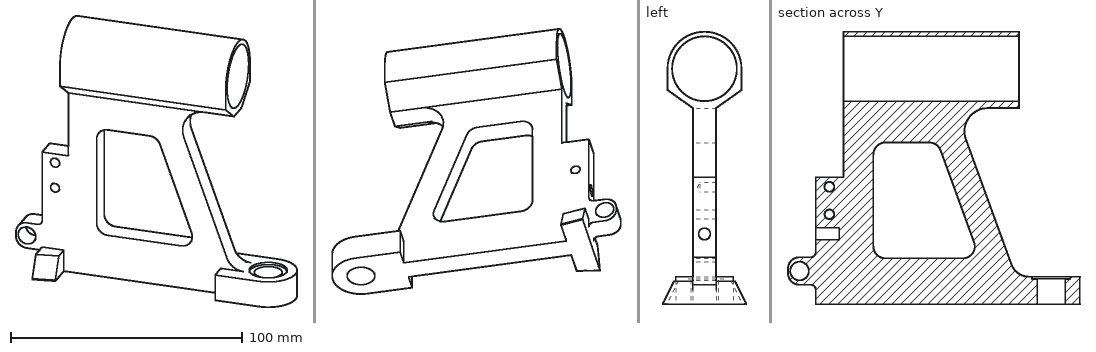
import cadquery as cq
import math


plate_thickness = 10.0
neck_front_x = 12.0
shoulder_height = 55.0
rear_slope_angle = 20
rear_slope_base_x = 91.1
rear_upper_fillet = 10.0
rear_lower_fillet = 8.0
slope_run = math.tan(math.radians(rear_slope_angle))

window_front_x = 25.0
window_bottom = 20.0
window_top = 70.0
window_fillet = 5.0
rear_strut_width = 12.0

total_height = 118.0
tube_length = 76.0
tube_diameter = 32.1
bore_diameter = 28.0
tube_side_bottom = 92.7
tube_neck_height = 84.9
tube_center_z = total_height - tube_diameter / 2

total_length = 126.5
tab_length = 12.0
tab_height = 12.0
tab_center_z = 14.4
tab_corner_radius = 5.0
tab_root_fillet = 2.0
hinge_hole_diameter = 8.0

foot_length = 10.0
foot_height = 10.0
foot_edge_height = 0.5
foot_base_width = 35.9
foot_top_width = 26.6
foot_taper_angle = 10

lug_width = 25.0
lug_height = 12.0
lug_straight_length = 20.0
lug_hole_diameter = 12.0
counterbore_diameter = 16.5
counterbore_depth = 1.0
lug_center_x = total_length - tab_length - lug_width / 2
lug_front_x = lug_center_x - lug_straight_length

side_hole_x = 6.0
through_hole_z = 39.0
through_hole_diameter = 4.0
blind_hole_z = 50.9
blind_hole_diameter = 4.2
blind_hole_depth = 7.0
drill_tip_angle = 118
front_hole_z = 30.5
front_hole_diameter = 5.0
front_hole_depth = 10.1


def rear_slope_x(z):
    """X of the sloping rear edge of the plate at height z."""
    return rear_slope_base_x - z * slope_run


def window_rear_x(z):
    """X of the sloping rear side of the window at height z."""
    return rear_slope_x(z) - rear_strut_width / math.cos(math.radians(rear_slope_angle))


def extrude_across(outline, thickness):
    """Extrude an XZ outline symmetrically about the mid-plane."""
    return outline.extrude(thickness / 2, both=True)


def fillet_at(body, x, z, radius):
    """Round the edge running along Y that lies nearest to (x, z)."""
    return body.edges("|Y").edges(cq.NearestToPointSelector((x, 0, z))).fillet(radius)


def make_plate():
    tube_end_x = neck_front_x + tube_length
    plate = extrude_across(
        cq.Workplane("XZ").polyline([
            (0, 0),
            (lug_center_x - counterbore_diameter / 2, 0),
            (lug_center_x - counterbore_diameter / 2, lug_height),
            (rear_slope_x(lug_height), lug_height),
            (rear_slope_x(tube_neck_height), tube_neck_height),
            (tube_end_x, tube_neck_height),
            (tube_end_x, tube_center_z),
            (neck_front_x, tube_center_z),
            (neck_front_x, shoulder_height),
            (0, shoulder_height),
        ]).close(),
        plate_thickness,
    )
    tab = extrude_across(
        cq.Workplane("XZ").center(0, tab_center_z).rect(2 * tab_length, tab_height),
        plate_thickness,
    ).edges("|Y and <X").fillet(tab_corner_radius)
    plate = plate.union(tab)
    for side in (-1, 1):
        plate = fillet_at(plate, 0, tab_center_z + side * tab_height / 2, tab_root_fillet)
    for z, radius in ((lug_height, rear_lower_fillet), (tube_neck_height, rear_upper_fillet)):
        plate = fillet_at(plate, rear_slope_x(z), z, radius)
    return plate


def make_window():
    outline = cq.Workplane("XZ").polyline([
        (window_front_x, window_bottom),
        (window_rear_x(window_bottom), window_bottom),
        (window_rear_x(window_top), window_top),
        (window_front_x, window_top),
    ]).close()
    return extrude_across(outline, plate_thickness).edges("|Y").fillet(window_fillet)


def make_tube():
    radius = tube_diameter / 2
    return (
        cq.Workplane("YZ", origin=(neck_front_x, 0, 0))
        .moveTo(radius, tube_center_z)
        .threePointArc((0, total_height), (-radius, tube_center_z))
        .lineTo(-radius, tube_side_bottom)
        .lineTo(-plate_thickness / 2, tube_neck_height)
        .lineTo(plate_thickness / 2, tube_neck_height)
        .lineTo(radius, tube_side_bottom)
        .close()
        .extrude(tube_length)
    )


def make_bore():
    return (
        cq.Workplane("YZ", origin=(neck_front_x, 0, 0))
        .center(0, tube_center_z)
        .circle(bore_diameter / 2)
        .extrude(tube_length)
    )


def foot_section(workplane, narrowing):
    """Draw the foot cross-section with each side moved inward by narrowing."""
    half_base = foot_base_width / 2 - narrowing
    half_top = foot_top_width / 2 - narrowing
    return workplane.polyline([
        (-half_base, 0),
        (half_base, 0),
        (half_base, foot_edge_height),
        (half_top, foot_height),
        (-half_top, foot_height),
        (-half_base, foot_edge_height),
    ]).close()


def make_foot():
    narrowing = foot_length * math.tan(math.radians(foot_taper_angle))
    front = foot_section(cq.Workplane("YZ"), 0)
    return foot_section(front.workplane(offset=foot_length), narrowing).loft(ruled=True)


def make_lug():
    block = cq.Workplane("XY").box(
        lug_straight_length, lug_width, lug_height, centered=(False, True, False)
    ).translate((lug_front_x, 0, 0))
    rounded_end = cq.Workplane("XY").center(lug_center_x, 0).circle(lug_width / 2).extrude(lug_height)
    return block.union(rounded_end)


def make_lug_hole():
    hole = cq.Workplane("XY").center(lug_center_x, 0).circle(lug_hole_diameter / 2).extrude(lug_height)
    counterbore = (
        cq.Workplane("XY", origin=(lug_center_x, 0, lug_height - counterbore_depth))
        .circle(counterbore_diameter / 2)
        .extrude(counterbore_depth)
    )
    return hole.union(counterbore)


def make_cross_hole(x, z, diameter):
    return extrude_across(cq.Workplane("XZ").center(x, z).circle(diameter / 2), plate_thickness)


def make_blind_hole():
    """Drilled hole with a conical tip, entering from the -Y face."""
    radius = blind_hole_diameter / 2
    entry_y = -plate_thickness / 2
    shoulder_y = entry_y + blind_hole_depth
    tip_y = shoulder_y + radius / math.tan(math.radians(drill_tip_angle / 2))
    return (
        cq.Workplane("XY")
        .polyline([(0, entry_y), (radius, entry_y), (radius, shoulder_y), (0, tip_y)])
        .close()
        .revolve(360, (0, 0, 0), (0, 1, 0))
        .translate((side_hole_x, 0, blind_hole_z))
    )


def make_front_hole():
    return (
        cq.Workplane("YZ")
        .center(0, front_hole_z)
        .circle(front_hole_diameter / 2)
        .extrude(front_hole_depth)
    )


hinge_hole_x = tab_corner_radius - tab_length

result = (
    make_plate()
    .union(make_tube())
    .union(make_foot())
    .union(make_lug())
    .cut(make_window())
    .cut(make_bore())
    .cut(make_lug_hole())
    .cut(make_cross_hole(hinge_hole_x, tab_center_z, hinge_hole_diameter))
    .cut(make_cross_hole(side_hole_x, through_hole_z, through_hole_diameter))
    .cut(make_blind_hole())
    .cut(make_front_hole())
)